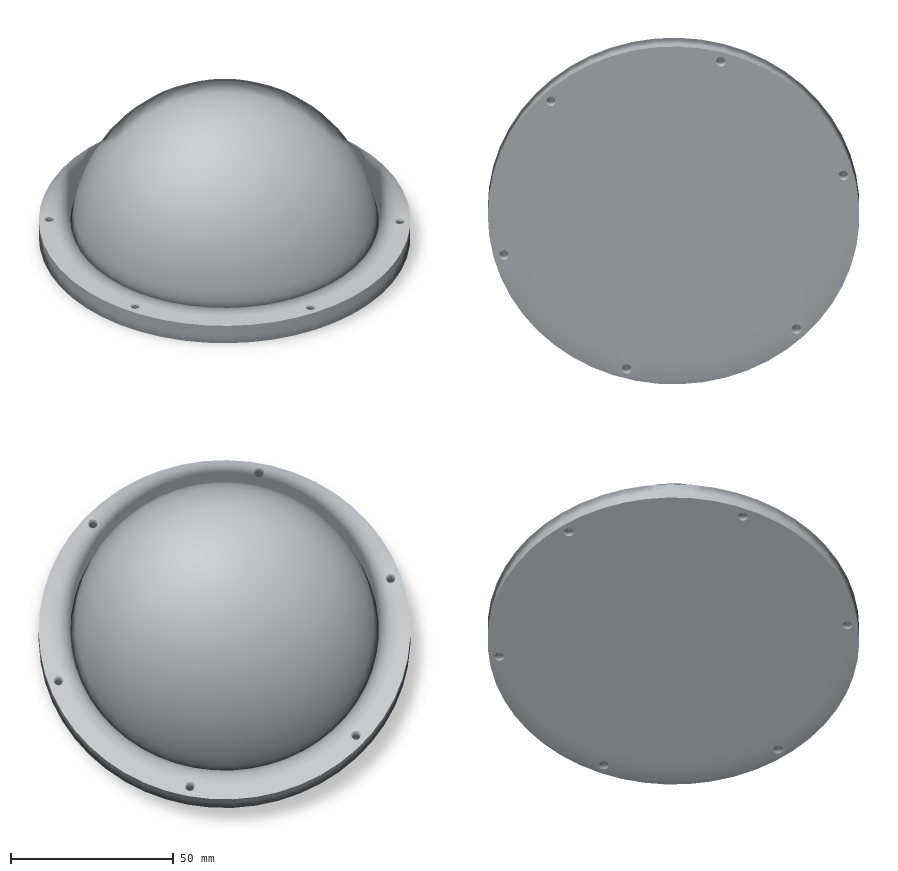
import cadquery as cq

TOTAL_HEIGHT = 49.16
RING_DIAMETER = 114.5
RING_THICKNESS = 6.5

DOME_DIAMETER = 95.0
DOME_RADIUS = DOME_DIAMETER / 2
BASE_HEIGHT = TOTAL_HEIGHT - DOME_RADIUS

HOLE_COUNT = 6
HOLE_CIRCLE_RADIUS = 54.0
THREAD_CREST_RADIUS = 2.53 / 2
THREAD_ROOT_RADIUS = 3.09 / 2
THREAD_PITCH = 0.5
GROOVE_COUNT = round(RING_THICKNESS / THREAD_PITCH)


def make_threaded_hole():
    """Solid to cut away for one threaded hole, standing on the origin along Z."""
    half_profile = cq.Workplane("XZ").lineTo(THREAD_ROOT_RADIUS, 0)
    for groove in range(GROOVE_COUNT):
        root_height = (groove + 1) * THREAD_PITCH
        half_profile = half_profile.lineTo(THREAD_CREST_RADIUS, root_height - THREAD_PITCH / 2)
        half_profile = half_profile.lineTo(THREAD_ROOT_RADIUS, root_height)
    half_profile = half_profile.lineTo(0, RING_THICKNESS).close()
    return half_profile.revolve(360, (0, 0), (0, 1))


def make_ring():
    """Flat mounting ring with an opening for the dome and evenly spaced threaded holes."""
    ring_body = cq.Workplane("XY").circle(RING_DIAMETER / 2).circle(DOME_RADIUS).extrude(RING_THICKNESS)
    hole = make_threaded_hole().translate((HOLE_CIRCLE_RADIUS, 0, 0))
    for index in range(HOLE_COUNT):
        angle = index * 360 / HOLE_COUNT
        ring_body = ring_body.cut(hole.rotate((0, 0, 0), (0, 0, 1), angle))
    return ring_body


def make_dome():
    """Hemisphere on a short cylindrical base of the same diameter."""
    arc_middle = DOME_RADIUS * 0.5 ** 0.5
    half_profile = (
        cq.Workplane("XZ")
        .lineTo(DOME_RADIUS, 0)
        .lineTo(DOME_RADIUS, BASE_HEIGHT)
        .threePointArc((arc_middle, BASE_HEIGHT + arc_middle), (0, TOTAL_HEIGHT))
        .close()
    )
    return half_profile.revolve(360, (0, 0), (0, 1))


ring = make_ring()
dome = make_dome()

result = cq.Compound.makeCompound([ring.val(), dome.val()])